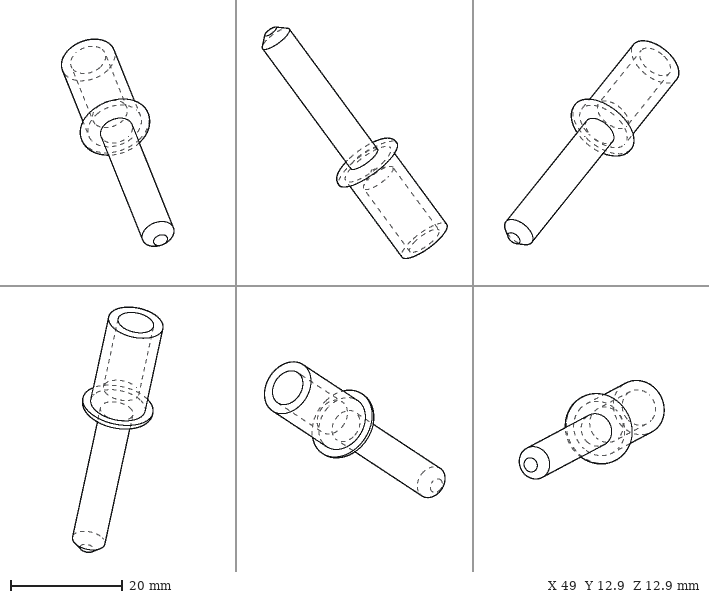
import cadquery as cq
import math

total_length = 49.0

barrel_diameter = 10.0
barrel_length = 17.95
bore_diameter = 6.5
bore_depth = 14.7
drill_point_angle = 118.0

flange_diameter = 12.9
flange_thickness = 1.25
flange_rounding = 1.0

pin_diameter = 6.0
tip_end_diameter = 2.6


def cylinder_along_x(start, length, diameter):
    return cq.Workplane("YZ", origin=(start, 0, 0)).circle(diameter / 2).extrude(length)


def make_flange():
    flange = cylinder_along_x(barrel_length, flange_thickness, flange_diameter)
    return flange.faces(">X").edges().fillet(flange_rounding)


def make_pin():
    pin = cylinder_along_x(barrel_length, total_length - barrel_length, pin_diameter)
    tip_drop = (pin_diameter - tip_end_diameter) / 2
    return pin.faces(">X").edges().chamfer(tip_drop)


def make_bore():
    """Blind hole ending in a drill-point cone."""
    radius = bore_diameter / 2
    cone_depth = radius / math.tan(math.radians(drill_point_angle / 2))
    return (
        cq.Workplane("XY")
        .lineTo(0, radius)
        .lineTo(bore_depth, radius)
        .lineTo(bore_depth + cone_depth, 0)
        .close()
        .revolve(360, (0, 0, 0), (1, 0, 0))
    )


barrel = cylinder_along_x(0, barrel_length, barrel_diameter)
result = barrel.union(make_flange()).union(make_pin()).cut(make_bore())